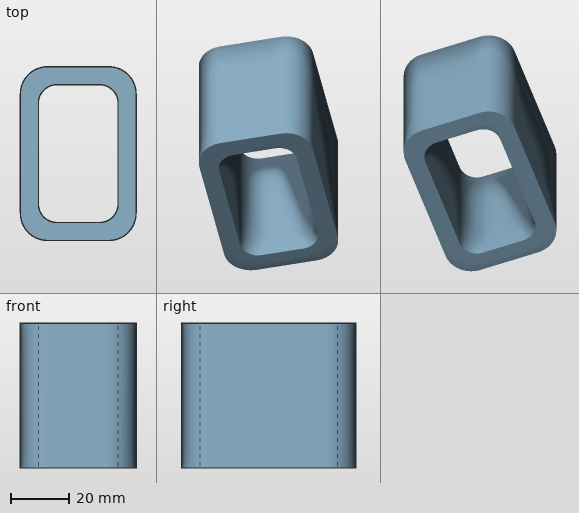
import cadquery as cq

width = 40.0
depth = 60.0
length = 50.0
wall = 6.3

outer_radius = 1.5 * wall
inner_radius = 1.0 * wall


def rounded_bar(size_x, size_y, corner_radius):
    """Solid bar from Z = 0 to the full length, with rounded vertical edges."""
    bar = cq.Workplane("XY").rect(size_x, size_y).extrude(length)
    return bar.edges("|Z").fillet(corner_radius)


outer_bar = rounded_bar(width, depth, outer_radius)
bore = rounded_bar(width - 2 * wall, depth - 2 * wall, inner_radius)

result = outer_bar.cut(bore)